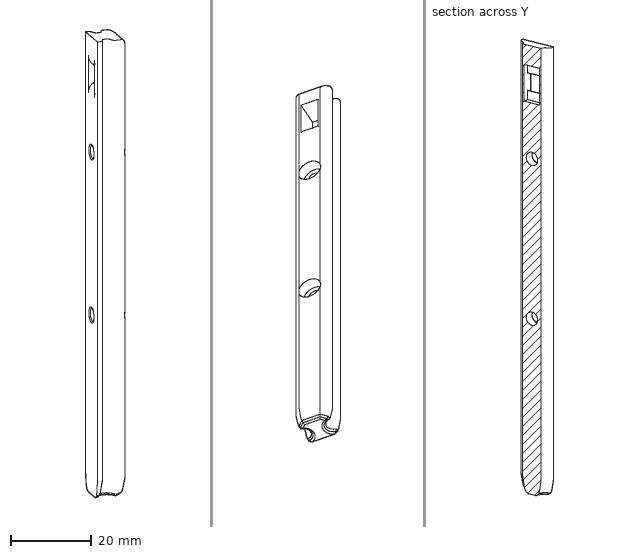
import cadquery as cq
import math

WIDTH = 9.6
DEPTH = 7.9
LENGTH = 118.8
HALF_WIDTH = WIDTH / 2

FLANGE_EDGE = 0.55
LIP_ROUND = 1.05
LIP_SPACING = 4.3
GROOVE_DEPTH = 1.85
BACK_CHAMFER = 1.95
BACK_ROUND = 0.85

TOP_ROUND = 2.0

NOSE_LENGTH = 4.5
NOSE_DRAFT = 10.0
TIP_RADIUS = 1.8
TIP_FINAL_ANGLE = 70.0
TIP_BANDS = 3

HOLE_DIAMETER = 3.4
HOLE_FRONT_CHAMFER = 0.3
COUNTERBORE_DIAMETER = 6.0
COUNTERBORE_DEPTH = 3.0
HOLE_DROPS = (29.9, 72.2)

WINDOW_WIDTH = 4.7
WINDOW_HEIGHT = 9.6
WINDOW_DROP = 10.3
WINDOW_LIP_HEIGHT = 2.5
WINDOW_LIP_RADIUS = 3.0

SELECTION_MARGIN = 0.01


def half_section():
    """Right half of the cross-section, with its inner edge on x = 0."""
    lip_x = HALF_WIDTH - LIP_ROUND
    front_lip_y = FLANGE_EDGE
    rear_lip_y = front_lip_y + LIP_SPACING
    groove_bottom = HALF_WIDTH - GROOVE_DEPTH
    groove_y = (front_lip_y + rear_lip_y) / 2
    reach = groove_bottom - LIP_ROUND
    groove_x = (lip_x**2 + (LIP_SPACING / 2) ** 2 - reach**2) / (2 * (lip_x - reach))
    groove_radius = groove_x - groove_bottom
    share = LIP_ROUND / (LIP_ROUND + groove_radius)
    touch_x = lip_x + share * (groove_x - lip_x)
    touch_rise = share * LIP_SPACING / 2
    return (
        cq.Workplane("XY")
        .lineTo(HALF_WIDTH, 0)
        .lineTo(HALF_WIDTH, front_lip_y)
        .tangentArcPoint((touch_x, front_lip_y + touch_rise), relative=False)
        .threePointArc((groove_bottom, groove_y), (touch_x, rear_lip_y - touch_rise))
        .tangentArcPoint((HALF_WIDTH, rear_lip_y), relative=False)
        .lineTo(HALF_WIDTH, DEPTH - BACK_CHAMFER)
        .lineTo(HALF_WIDTH - BACK_CHAMFER, DEPTH)
        .lineTo(0, DEPTH)
        .close()
    )


def rail():
    """Straight rail from the nose to the upper end."""
    half = half_section().extrude(LENGTH - NOSE_LENGTH).translate((0, 0, NOSE_LENGTH))
    back_edge_y = DEPTH - BACK_CHAMFER
    back_edge = cq.selectors.BoxSelector(
        (HALF_WIDTH - SELECTION_MARGIN, back_edge_y - SELECTION_MARGIN, 0),
        (HALF_WIDTH + SELECTION_MARGIN, back_edge_y + SELECTION_MARGIN, LENGTH),
    )
    half = half.edges(back_edge).fillet(BACK_ROUND)
    return half.union(half.mirror("YZ")).clean()


def nose_layers():
    """Draft angle and height of each nose layer, from the rail down to the tip."""
    step = (TIP_FINAL_ANGLE - NOSE_DRAFT) / TIP_BANDS
    angles = [NOSE_DRAFT + step * band for band in range(TIP_BANDS + 1)]
    levels = [TIP_RADIUS * (1 - math.sin(math.radians(angle))) for angle in angles]
    tip_height = levels[0] - levels[-1]
    layers = [(NOSE_DRAFT, NOSE_LENGTH - tip_height)]
    for band in range(TIP_BANDS):
        layers.append((angles[band] + step / 2, levels[band] - levels[band + 1]))
    return layers


def with_nose(body):
    """Add the nose: every side but the flat front face draws inward toward the tip."""
    doubled = body.union(body.mirror("XZ")).clean()
    for draft, height in nose_layers():
        outline = doubled.faces("<Z").wires().val()
        layer = cq.Solid.extrudeLinear(outline, [], cq.Vector(0, 0, -height), draft)
        doubled = doubled.union(cq.Workplane(obj=layer))
    behind_front = cq.Workplane("XY").box(WIDTH, DEPTH, LENGTH, centered=(True, False, False))
    return doubled.intersect(behind_front)


def screw_hole(drop):
    """Cutter for one screw hole, revolved about its axis along Y."""
    radius = HOLE_DIAMETER / 2
    bore_radius = COUNTERBORE_DIAMETER / 2
    shoulder_y = DEPTH - COUNTERBORE_DEPTH
    return (
        cq.Workplane("XY")
        .lineTo(radius + HOLE_FRONT_CHAMFER, 0)
        .lineTo(radius, HOLE_FRONT_CHAMFER)
        .lineTo(radius, shoulder_y)
        .lineTo(bore_radius, shoulder_y)
        .lineTo(bore_radius, DEPTH)
        .lineTo(0, DEPTH)
        .close()
        .revolve(360, (0, 0), (0, 1))
        .translate((0, 0, LENGTH - drop))
    )


def window():
    """Cutter for the window: full-height slot minus the two rounded lips."""
    mouth = WINDOW_HEIGHT / 2
    throat = mouth - WINDOW_LIP_HEIGHT
    lip_depth = WINDOW_LIP_RADIUS - math.sqrt(WINDOW_LIP_RADIUS**2 - WINDOW_LIP_HEIGHT**2)
    return (
        cq.Workplane("YZ", origin=(-WINDOW_WIDTH / 2, 0, LENGTH - WINDOW_DROP))
        .moveTo(0, -mouth)
        .radiusArc((lip_depth, -throat), WINDOW_LIP_RADIUS)
        .lineTo(lip_depth, -mouth)
        .lineTo(DEPTH, -mouth)
        .lineTo(DEPTH, mouth)
        .lineTo(lip_depth, mouth)
        .lineTo(lip_depth, throat)
        .radiusArc((0, mouth), WINDOW_LIP_RADIUS)
        .close()
        .extrude(WINDOW_WIDTH)
    )


result = with_nose(rail())
result = result.faces(">Z").edges(">Y").fillet(TOP_ROUND)
for hole_drop in HOLE_DROPS:
    result = result.cut(screw_hole(hole_drop))
result = result.cut(window())